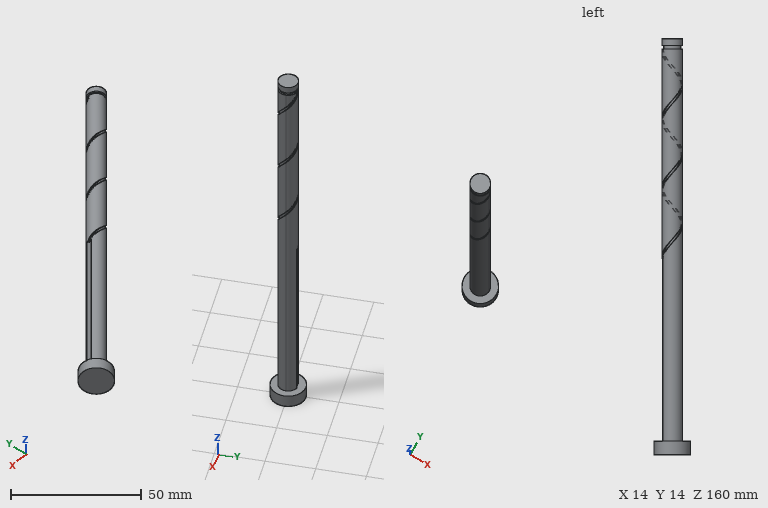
import cadquery as cq

total_length = 160.0
head_diameter = 14.0
head_height = 5.3
shaft_diameter = 8.0
shaft_radius = shaft_diameter / 2

tip_length = 2.7
neck_height = 1.3
neck_diameter = 6.7
neck_top = total_length - tip_length
neck_bottom = neck_top - neck_height

spiral_pitch = 26.7
spiral_turns = 3
spiral_bottom = 75.5
groove_width = 1.0
groove_depth = 0.5

straight_width = 2.5

cutter_overlap = 0.5


def make_pin():
    head = cq.Workplane("XY").circle(head_diameter / 2).extrude(head_height)
    shaft = cq.Workplane("XY").circle(shaft_radius).extrude(total_length)
    return head.union(shaft)


def make_neck_ring():
    return (
        cq.Workplane("XY", origin=(0, 0, neck_bottom))
        .circle(shaft_radius + cutter_overlap)
        .circle(neck_diameter / 2)
        .extrude(neck_height)
    )


def make_spiral_cutter():
    path = cq.Wire.makeHelix(spiral_pitch, spiral_pitch * spiral_turns, shaft_radius)
    turn_length = cq.Wire.makeCircle(shaft_radius, cq.Vector(), cq.Vector(0, 0, 1)).Length()
    upright_width = groove_width * (spiral_pitch**2 + turn_length**2) ** 0.5 / turn_length
    section_middle = shaft_radius + (cutter_overlap - groove_depth) / 2
    cutter = (
        cq.Workplane("XZ")
        .center(section_middle, 0)
        .rect(groove_depth + cutter_overlap, upright_width)
        .sweep(cq.Workplane(obj=path), isFrenet=True)
    )
    return cutter.rotate((0, 0, 0), (0, 0, 1), 90).translate((0, 0, spiral_bottom))


def make_straight_cutter():
    groove_length = spiral_bottom - head_height
    return (
        cq.Workplane("XY", origin=(0, shaft_radius, head_height))
        .rect(straight_width, 2 * groove_depth)
        .extrude(groove_length)
    )


result = make_pin().cut(make_neck_ring()).cut(make_spiral_cutter()).cut(make_straight_cutter())